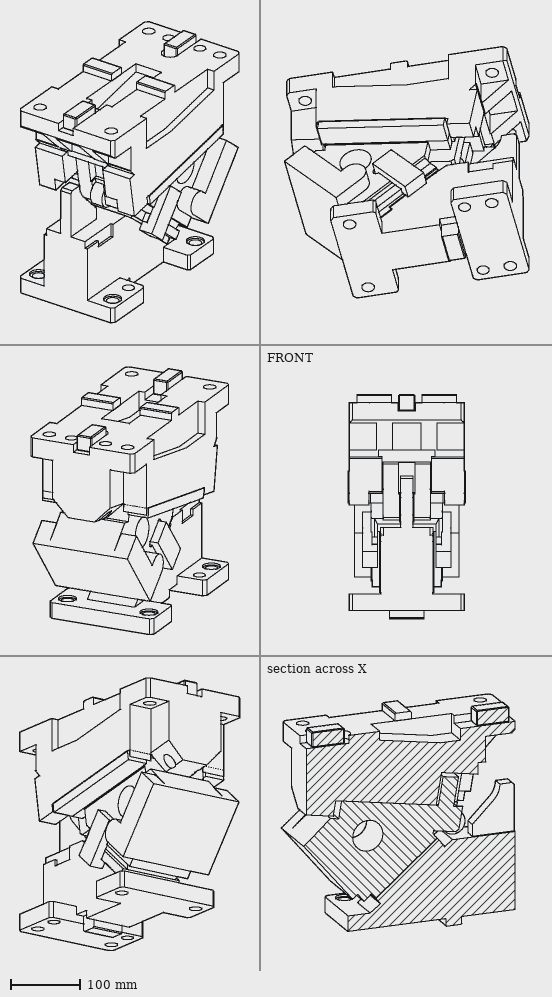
import cadquery as cq
import math


TOP_Z = 300.5
KEY_RISE = 12.0
REAR_Y = 325.0
BODY_HALF = 83.2
CORNER_CHAMFER = 5.0
KEY_CHAMFER = 1.5

GUIDE_ANGLE = math.radians(9.7)
GUIDE_START = (88.5, 169.8)
GUIDE_LENGTH = 192.8
CORE_HALF = 52.3
TABLE_THICKNESS = 16.5

SLIDE_ANGLE = math.radians(40)
SLIDE_START = (223.0, 52.5)
SLIDE_LENGTH = 125.0
KEEL_DEPTH = 10.5
RAIL_BOTTOM = 24.0
RAIL_HALF = 50.0
WIDE_RAIL_LENGTH = 96.5

PLATE_BOTTOM = 270.8
FOOT_FRONT = -37.0
FOOT_REAR = -2.5
FOOT_TOP = 57.0
FOOT_BOTTOM = -11.2
HOOK_BOTTOM = -23.5
SLOPE_TOP = 275.7
CHANNEL_HALF = 35.5
CHANNEL_BACK = 34.2
CHANNEL_TOP = 49.5
OPENING_HALF = 40.8
OPENING_BACK_Y = 57.5
OPENING_BOTTOM = 222.5
FRONT_POCKET_BOTTOM = 232.0
NOTCH_HALF = 54.5
NOTCH_TOP = 9.0
HOOK_HALF = 46.0
HOOK_START_Y = 280.3
HOOK_BEVEL = 25.0
HOOK_CUT_LEAD = 3.3
HOOK_CUT_LENGTH = 65.8
FRONT_POCKET_DEPTH = 45.5
RIB_INNER = 20.5
RIB_OUTER = 43.5
STRIP_HALF = 84.5
STRIP_THICKNESS = 14.8
STRIP_START = 1.5
STRIP_END = 190.2
SIDE_POCKET_INNER = 72.0
SIDE_POCKET_BACK_Y = 256.0
SIDE_POCKET_RAMP_Y = 147.0
SIDE_POCKET_FLOOR = 251.0
POCKET_FRONT_Y = 85.2
WINDOW_HALF = 22.5
WINDOW_BACK_Y = 210.5
WINDOW_RAMP_Y = 115.8
KEYWAY_HALF = 12.8
KEY_HALF = 12.0
KEY_LENGTH = 50.7
FRONT_KEY_Y = 9.2
REAR_KEY_Y = 265.2
CROSS_KEY_Y = 148.0
CROSS_KEY_WIDTH = 25.3
CROSS_KEY_INNER = 21.7
BOLT_DIAMETER = 18.0
BOLT_X = 62.5
BOLT_FRONT_Y = 25.0
BOLT_REAR_Y = 301.0
PIN_DIAMETER = 17.0
PIN_X = 27.3

BODY_SIDE = 51.3
ARM_HALF = 75.7
CROSS_BORE_DIAMETER = 46.0
CROSS_BORE_CENTRE = (229.0, 142.8)
CLIP_START = 59.5
CLIP_END = 95.5
CLIP_TOP = -37.2
CLIP_BOTTOM = 37.5
CLIP_OUTER = 63.8
CLIP_INNER = 42.0
RELIEF_RADIUS = 5.0
SLIDER_TAIL = -15.0
ARM_TAIL = -25.3
ARM_FRONT = 14.0
ARM_END = 23.7
ARM_TOP = -134.5
ARM_BOTTOM = -15.8
ARM_END_RADIUS = 18.0
TABLE_REAR = 184.3
SHOULDER_REAR = 197.0
SHOULDER = -26.3
BLOCK_FRONT = -7.5
BLOCK_BACK = 31.5
BLOCK_SLOT_END = 6.5
BLOCK_BOTTOM = -38.8
BLOCK_TOP = 44.0
BLOCK_HALF = 34.2
BLOCK_CHAMFER = 4.3
UPPER_SLOT_HALF = 12.2
LOWER_SLOT_HALF = 10.2
ROUND_NOSE_CENTRE = (2.5, -24.7)
ROUND_NOSE_RADIUS = 18.0
KEEL_TOP_HALF = 46.5

FOOT_HEIGHT = 24.5
BASE_LENGTH = 260.0
FRONT_FEET_END = 82.5
REAR_FEET_START = 193.0
REAR_FEET_INNER_CHAMFER = 3.3
WEB_HALF = 38.0
WEB_TOP = 120.0
WEB_TOP_END = 97.5
WEB_FOOT_END = 225.7
NECK_HALF = 39.5
NECK_BOTTOM = 28.0
NECK_PAD_LENGTH = 30.3
NECK_PAD_BOTTOM = 34.2
POST_HALF = 9.0
POST_TOP = 194.5
POST_CHAMFER = 3.5
POST_END_Y = 65.5
POST_ARC_TOP = (22.7, 194.5)
POST_ARC_MIDDLE = (24.7, 183.3)
POST_ARC_END = (31.3, 172.5)
SEAT_HALF = 34.0
SEAT_LOW = 99.7
SEAT_HIGH = 109.2
SEAT_STEP_Y = 29.0
BASE_KEY_HALF = 25.0
BASE_KEY_END = 108.0
BASE_BOLT_X = 65.0
BASE_REAR_BOLT_Y = 235.0
BASE_PIN_Y = 65.0
COUNTERBORE_DIAMETER = 26.0
COUNTERBORE_DEPTH = 3.0


def guide(along, up):
    """(y, z) of a point given along the guide (rearward) and square to it."""
    c, s = math.cos(GUIDE_ANGLE), math.sin(GUIDE_ANGLE)
    return GUIDE_START[0] + along * c - up * s, GUIDE_START[1] + along * s + up * c


def slide(along, depth):
    """(y, z) of a point given up along the slide and in depth towards the base."""
    c, s = math.cos(SLIDE_ANGLE), math.sin(SLIDE_ANGLE)
    return SLIDE_START[0] - along * c - depth * s, SLIDE_START[1] + along * s - depth * c


def across(points, half_width):
    """Prism with the given YZ profile, centred on X = 0."""
    return cq.Workplane("YZ").polyline(points).close().extrude(half_width, both=True)


def both_sides(points, inner, outer):
    """Matching prisms from inner to outer distance on the two sides of X = 0."""
    return across(points, outer).cut(across(points, inner))


def corners(frame, first, second):
    """Four corners of a rectangle in the guide or slide frame."""
    (a0, b0), (a1, b1) = first, second
    return [frame(a0, b0), frame(a1, b0), frame(a1, b1), frame(a0, b1)]


def rectangle(y0, z0, y1, z1):
    return [(y0, z0), (y1, z0), (y1, z1), (y0, z1)]


def cylinder(centre, radius, half_width):
    """Cylinder along X about the given (y, z) centre."""
    return cq.Workplane("YZ").center(*centre).circle(radius).extrude(half_width, both=True)


def box(x0, x1, y0, y1, z0, z1):
    size = (x1 - x0, y1 - y0, z1 - z0)
    return cq.Workplane("XY").box(*size, centered=False).translate((x0, y0, z0))


def drill(x, y, diameter, bottom, top):
    """Vertical hole cutters mirrored to both sides of X = 0."""
    places = [(-x, y), (x, y)]
    plane = cq.Workplane("XY").workplane(offset=bottom)
    return plane.pushPoints(places).circle(diameter / 2).extrude(top - bottom)


def upper_blank():
    foot_top_front = guide(FOOT_FRONT, FOOT_TOP)
    rear_along = (REAR_Y - GUIDE_START[0]) / math.cos(GUIDE_ANGLE) + HOOK_BOTTOM * math.tan(GUIDE_ANGLE)
    slope = math.tan(GUIDE_ANGLE)
    run = (SLOPE_TOP - foot_top_front[1] + foot_top_front[0] * slope) / (1 + slope)
    outline = [
        (0, TOP_Z),
        (REAR_Y, TOP_Z),
        guide(rear_along, HOOK_BOTTOM),
        guide(GUIDE_LENGTH, HOOK_BOTTOM),
        guide(GUIDE_LENGTH, 0),
        guide(FOOT_REAR, 0),
        guide(FOOT_REAR, FOOT_BOTTOM),
        guide(FOOT_FRONT, FOOT_BOTTOM),
        foot_top_front,
        (run, SLOPE_TOP - run),
        (0, SLOPE_TOP),
    ]
    blank = across(outline, BODY_HALF)
    plan = box(-BODY_HALF, BODY_HALF, 0, REAR_Y, 0, TOP_Z)
    return blank.intersect(plan.edges("|Z").chamfer(CORNER_CHAMFER))


def rear_hook_cut():
    """Clears both sides below the plate, leaving a hook with bevelled lower edges."""
    sides = rectangle(HOOK_START_Y, 0, REAR_Y, PLATE_BOTTOM)
    return both_sides(sides, HOOK_HALF, BODY_HALF)


def hook_bevel_cut():
    """45 degree bevel along each lower edge of the hook, following the guide slope."""
    plane = cq.Plane(
        origin=(0, *guide(GUIDE_LENGTH - HOOK_CUT_LEAD, HOOK_BOTTOM)),
        xDir=(-1, 0, 0),
        normal=(0, math.cos(GUIDE_ANGLE), math.sin(GUIDE_ANGLE)),
    )
    inner = HOOK_HALF - HOOK_BEVEL
    triangle = [(inner, 0), (HOOK_HALF, 0), (HOOK_HALF, HOOK_BEVEL)]
    wedge = cq.Workplane(plane).polyline(triangle).close().extrude(HOOK_CUT_LENGTH)
    return wedge.union(wedge.mirror("YZ"))


def ramped_pocket(back_y, ramp_y, floor):
    """Pocket profile with a flat front floor that then rises along the guide slope."""
    ramp_top = floor + (back_y - ramp_y) * math.tan(GUIDE_ANGLE)
    return [
        (POCKET_FRONT_Y, TOP_Z),
        (back_y, TOP_Z),
        (back_y, ramp_top),
        (ramp_y, floor),
        (POCKET_FRONT_Y, floor),
    ]


def build_upper():
    body = upper_blank()
    body = body.cut(rear_hook_cut()).cut(hook_bevel_cut())

    pocket = rectangle(0, FRONT_POCKET_BOTTOM, FRONT_POCKET_DEPTH, PLATE_BOTTOM)
    body = body.cut(across(pocket, RIB_INNER)).cut(both_sides(pocket, RIB_OUTER, BODY_HALF))

    outside = (2 * FOOT_FRONT, 2 * FOOT_BOTTOM)
    channel = corners(guide, outside, (CHANNEL_BACK, CHANNEL_TOP))
    notch = corners(guide, outside, (FOOT_REAR, NOTCH_TOP))
    body = body.cut(across(channel, CHANNEL_HALF)).cut(across(notch, NOTCH_HALF))

    opening = rectangle(0, OPENING_BOTTOM, OPENING_BACK_Y, FRONT_POCKET_BOTTOM)
    throat = rectangle(0, 0, OPENING_BACK_Y, FRONT_POCKET_BOTTOM)
    body = body.cut(across(opening, OPENING_HALF)).cut(across(throat, CHANNEL_HALF))

    side_pocket = ramped_pocket(SIDE_POCKET_BACK_Y, SIDE_POCKET_RAMP_Y, SIDE_POCKET_FLOOR)
    window = ramped_pocket(WINDOW_BACK_Y, WINDOW_RAMP_Y, PLATE_BOTTOM)
    body = body.cut(both_sides(side_pocket, SIDE_POCKET_INNER, BODY_HALF)).cut(across(window, WINDOW_HALF))

    floor = TOP_Z - KEY_RISE
    body = body.cut(box(-KEYWAY_HALF, KEYWAY_HALF, 0, POCKET_FRONT_Y, floor, TOP_Z))
    body = body.cut(box(-KEYWAY_HALF, KEYWAY_HALF, REAR_KEY_Y, REAR_Y, floor, TOP_Z))
    rounded_end = cq.Workplane("XY").workplane(offset=floor).center(0, REAR_KEY_Y)
    body = body.cut(rounded_end.circle(KEYWAY_HALF).extrude(KEY_RISE))

    for y in (BOLT_FRONT_Y, BOLT_REAR_Y):
        body = body.cut(drill(BOLT_X, y, BOLT_DIAMETER, PLATE_BOTTOM, TOP_Z))
    body = body.cut(drill(PIN_X, BOLT_REAR_Y, PIN_DIAMETER, 0, TOP_Z))

    strip = corners(guide, (STRIP_START, -STRIP_THICKNESS), (STRIP_END, 0))
    body = body.union(both_sides(strip, CORE_HALF, STRIP_HALF))

    for y in (FRONT_KEY_Y, REAR_KEY_Y):
        key = box(-KEY_HALF, KEY_HALF, y, y + KEY_LENGTH, floor, TOP_Z + KEY_RISE)
        body = body.union(key.edges().chamfer(KEY_CHAMFER))
    for start in (CROSS_KEY_INNER, -SIDE_POCKET_INNER):
        end = start + SIDE_POCKET_INNER - CROSS_KEY_INNER
        key = box(start, end, CROSS_KEY_Y, CROSS_KEY_Y + CROSS_KEY_WIDTH, TOP_Z, TOP_Z + KEY_RISE)
        body = body.union(key.edges(">Z and |X").chamfer(KEY_CHAMFER))
    return body


def slider_body():
    outline = [
        slide(SLIDER_TAIL, ARM_TOP),
        slide(SLIDER_TAIL, 0),
        slide(SLIDE_LENGTH, 0),
        guide(BLOCK_BACK, BLOCK_BOTTOM),
        guide(BLOCK_BACK, -TABLE_THICKNESS),
        guide(TABLE_REAR, -TABLE_THICKNESS),
        guide(TABLE_REAR, SHOULDER),
        guide(SHOULDER_REAR, SHOULDER),
    ]
    table_rear = corners(guide, (BLOCK_BACK, -TABLE_THICKNESS), (TABLE_REAR, 0))
    table_front = corners(guide, (STRIP_START, -STRIP_THICKNESS), (BLOCK_BACK, 0))
    body = across(outline, BODY_SIDE).union(across(table_rear, CORE_HALF))
    return body.union(across(table_front, CORE_HALF))


def front_block():
    """Block between the feet, with a slot for the base post and a round nose inside the slot."""
    outline = [
        guide(BLOCK_BACK, BLOCK_TOP),
        guide(BLOCK_FRONT, BLOCK_TOP),
        guide(BLOCK_FRONT, BLOCK_BOTTOM + BLOCK_CHAMFER),
        guide(BLOCK_FRONT + BLOCK_CHAMFER, BLOCK_BOTTOM),
        guide(BLOCK_BACK, BLOCK_BOTTOM),
    ]
    upper_slot = corners(guide, (BLOCK_FRONT, 0), (BLOCK_SLOT_END, BLOCK_TOP))
    lower_slot = corners(guide, (BLOCK_FRONT, BLOCK_BOTTOM), (BLOCK_SLOT_END, 0))
    block = across(outline, BLOCK_HALF)
    block = block.cut(across(upper_slot, UPPER_SLOT_HALF)).cut(across(lower_slot, LOWER_SLOT_HALF))
    return block.union(cylinder(guide(*ROUND_NOSE_CENTRE), ROUND_NOSE_RADIUS, LOWER_SLOT_HALF))


def arms():
    """L-shaped arms whose short leg ends in a half round."""
    axis_depth = ARM_BOTTOM - ARM_END_RADIUS
    leg = corners(slide, (ARM_TAIL, ARM_TOP), (ARM_FRONT, ARM_BOTTOM))
    foot = corners(slide, (ARM_TAIL, axis_depth - ARM_END_RADIUS), (ARM_END, ARM_BOTTOM))
    rounded_end = cylinder(slide(ARM_END, axis_depth), ARM_END_RADIUS, ARM_HALF)
    return across(leg, ARM_HALF).union(across(foot, ARM_HALF)).union(rounded_end)


def keel():
    """Tapered underside that runs on the rail."""
    plane = cq.Plane(
        origin=(0, *SLIDE_START),
        xDir=(1, 0, 0),
        normal=(0, -math.cos(SLIDE_ANGLE), math.sin(SLIDE_ANGLE)),
    )
    section = [
        (-KEEL_TOP_HALF, 0),
        (KEEL_TOP_HALF, 0),
        (CLIP_INNER, -KEEL_DEPTH),
        (-CLIP_INNER, -KEEL_DEPTH),
    ]
    return cq.Workplane(plane).polyline(section).close().extrude(SLIDE_LENGTH)


def build_slider():
    body = slider_body().union(front_block()).union(arms()).union(keel())
    body = body.cut(cylinder(CROSS_BORE_CENTRE, CROSS_BORE_DIAMETER / 2, ARM_HALF))

    for along in (CLIP_START, CLIP_END):
        centre = slide(along, CLIP_TOP + RELIEF_RADIUS)
        relief = cylinder(centre, RELIEF_RADIUS, BODY_SIDE).cut(cylinder(centre, RELIEF_RADIUS, CLIP_INNER))
        body = body.cut(relief)
    clip = corners(slide, (CLIP_START, CLIP_TOP), (CLIP_END, CLIP_BOTTOM))
    rail_space = corners(slide, (CLIP_START, 0), (CLIP_END, RAIL_BOTTOM))
    clips = both_sides(clip, CLIP_INNER, CLIP_OUTER).cut(across(rail_space, RAIL_HALF))
    return body.union(clips)


def feet():
    front = box(-BODY_HALF, BODY_HALF, 0, FRONT_FEET_END, 0, FOOT_HEIGHT)
    rear = box(-BODY_HALF, BODY_HALF, REAR_FEET_START, BASE_LENGTH, 0, FOOT_HEIGHT)
    front = front.edges("|Z").chamfer(CORNER_CHAMFER)
    rear = rear.edges("|Z and >Y").chamfer(CORNER_CHAMFER)
    rear = rear.edges("|Z and <Y").chamfer(REAR_FEET_INNER_CHAMFER)
    plate = front.union(rear)
    floor = FOOT_HEIGHT - COUNTERBORE_DEPTH
    for y in (BOLT_FRONT_Y, BASE_REAR_BOLT_Y):
        plate = plate.cut(drill(BASE_BOLT_X, y, BOLT_DIAMETER, 0, FOOT_HEIGHT))
        plate = plate.cut(drill(BASE_BOLT_X, y, COUNTERBORE_DIAMETER, floor, FOOT_HEIGHT))
    return plate.cut(drill(BASE_BOLT_X, BASE_PIN_Y, PIN_DIAMETER, 0, FOOT_HEIGHT))


def web():
    outline = [
        (0, 0),
        (0, WEB_TOP),
        (WEB_TOP_END, WEB_TOP),
        (WEB_FOOT_END, FOOT_HEIGHT),
        (BASE_LENGTH, FOOT_HEIGHT),
        (BASE_LENGTH, 0),
    ]
    seat = [
        (0, WEB_TOP),
        (POST_END_Y, WEB_TOP),
        (POST_END_Y, SEAT_LOW),
        (SEAT_STEP_Y, SEAT_LOW),
        (SEAT_STEP_Y, SEAT_HIGH),
        (0, SEAT_HIGH),
    ]
    return across(outline, WEB_HALF).cut(both_sides(seat, SEAT_HALF, WEB_HALF))


def post():
    """Central post with a concave and then 45 degree rear edge."""
    outline = (
        cq.Workplane("YZ")
        .moveTo(0, SEAT_LOW)
        .lineTo(0, POST_TOP - POST_CHAMFER)
        .lineTo(POST_CHAMFER, POST_TOP)
        .lineTo(*POST_ARC_TOP)
        .threePointArc(POST_ARC_MIDDLE, POST_ARC_END)
        .lineTo(POST_END_Y, POST_ARC_END[1] - (POST_END_Y - POST_ARC_END[0]))
        .lineTo(POST_END_Y, SEAT_LOW)
        .close()
    )
    return outline.extrude(POST_HALF, both=True)


def rail():
    lower_head = corners(slide, (0, KEEL_DEPTH), (WIDE_RAIL_LENGTH, RAIL_BOTTOM))
    upper_head = corners(slide, (0, KEEL_DEPTH), (SLIDE_LENGTH, RAIL_BOTTOM))
    neck = corners(slide, (0, RAIL_BOTTOM), (SLIDE_LENGTH, NECK_BOTTOM))
    pad = corners(slide, (0, RAIL_BOTTOM), (NECK_PAD_LENGTH, NECK_PAD_BOTTOM))
    head = across(lower_head, RAIL_HALF).union(across(upper_head, CLIP_INNER))
    return head.union(across(neck, NECK_HALF)).union(across(pad, NECK_HALF))


def build_base():
    body = feet().union(web()).union(post()).union(rail())
    slot = box(-WEB_HALF, WEB_HALF, FRONT_FEET_END, BASE_KEY_END, 0, KEY_RISE)
    key = box(-BASE_KEY_HALF, BASE_KEY_HALF, FRONT_FEET_END, BASE_KEY_END, -KEY_RISE, KEY_RISE)
    return body.cut(slot).union(key.edges("<Z and |X").chamfer(KEY_CHAMFER))


upper = build_upper()
slider = build_slider()
base = build_base()
result = cq.Compound.makeCompound([upper.solids().val(), slider.solids().val(), base.solids().val()])